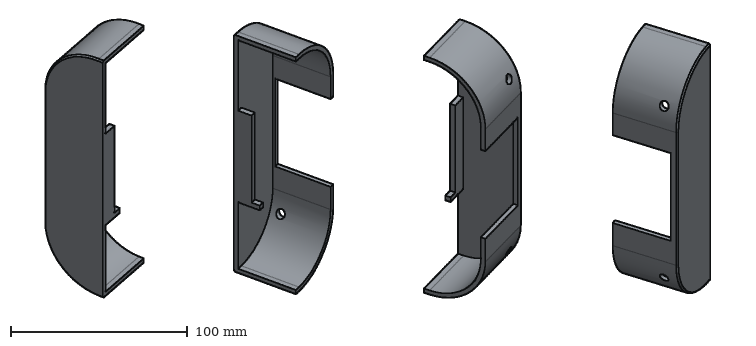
import cadquery as cq

depth = 40.0
width = 41.5
height = 166.0

corner_radius = 36.5
wall = 3.0
edge_chamfer = 1.0

window_height = 61.5
window_floor = 4.5

hole_diameter = 5.5
hole_y = 10.0
hole_spacing = 120.2

rib_thickness = depth - corner_radius
rib_width = 12.0

tab_reach = 5.5
tab_height = 3.3
tab_rise = 0.5


def rounded_half_outline(inset):
    """Extrude the D-shaped outline, offset inward, along the full width."""
    half_height = height / 2 - inset
    radius = corner_radius - inset
    straight_half = half_height - radius
    return (
        cq.Workplane("XZ")
        .moveTo(depth, -half_height)
        .lineTo(corner_radius, -half_height)
        .radiusArc((inset, -straight_half), radius)
        .lineTo(inset, straight_half)
        .radiusArc((corner_radius, half_height), radius)
        .lineTo(depth, half_height)
        .close()
        .extrude(-width)
    )


def make_shell():
    """Chamfer the outer front edge, then hollow the body behind the plate."""
    body = rounded_half_outline(0)
    rim_edges = [
        edge
        for edge in body.faces("<Y").edges().vals()
        if edge.Center().x < depth - edge_chamfer
    ]
    body = body.newObject(rim_edges).chamfer(edge_chamfer)
    cavity = rounded_half_outline(wall).translate((0, wall, 0))
    return body.cut(cavity)


def make_window():
    """Block that opens the straight part of the rim wall to the back."""
    return (
        cq.Workplane("XY")
        .box(2 * wall, width, window_height, centered=(True, False, True))
        .translate((0, window_floor, 0))
    )


def make_screw_holes():
    """Pair of cylinders along X, one through each curved corner."""
    return (
        cq.Workplane("YZ")
        .pushPoints([(hole_y, side * hole_spacing / 2) for side in (-1, 1)])
        .circle(hole_diameter / 2)
        .extrude(depth)
    )


def make_rib():
    """Rib along the open edge of the plate, as tall as the window."""
    return (
        cq.Workplane("XY")
        .box(rib_thickness, rib_width, window_height, centered=(False, False, True))
        .translate((depth - rib_thickness, 0, 0))
    )


def make_tab():
    """Tab reaching from the lower end of the rib toward +Y."""
    top = tab_rise - window_height / 2
    return (
        cq.Workplane("XY")
        .box(rib_thickness, rib_width + tab_reach, tab_height, centered=False)
        .translate((depth - rib_thickness, 0, top - tab_height))
    )


shell = make_shell().cut(make_window()).cut(make_screw_holes())
result = shell.union(make_rib()).union(make_tab())